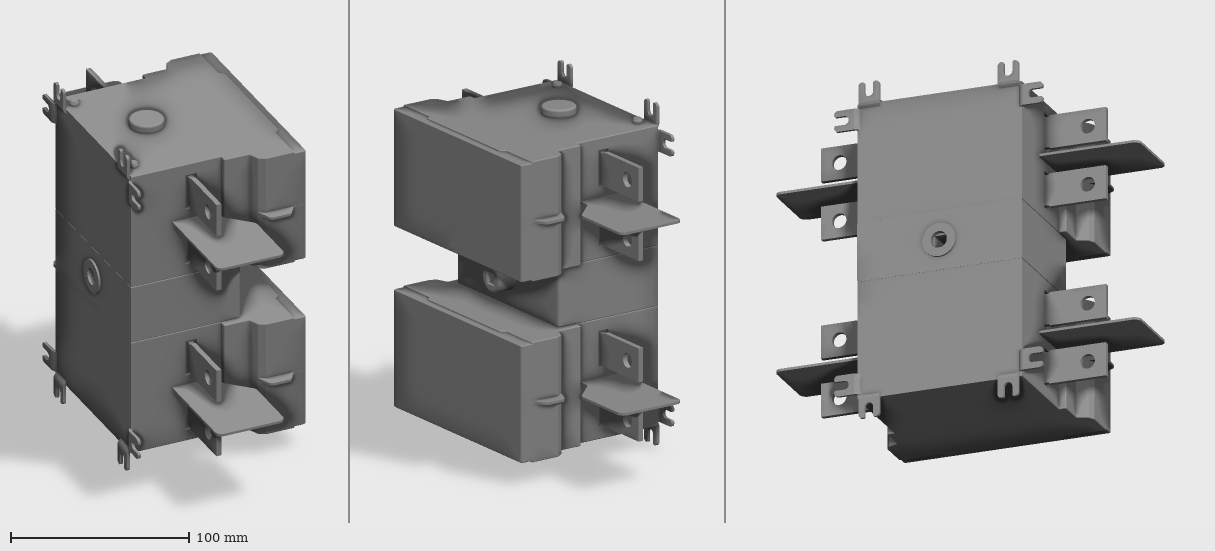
import cadquery as cq
import math

HOUSING_HALF_WIDTH = 49.75
HOUSING_HEIGHT = 71.0
HOUSING_CENTRE_Z = 53.3
END_EDGE_RADIUS = 0.6
EDGE_PICK_REACH = 0.1

SHOULDER_Y = 55.6
SHOULDER_HALF_WIDTH = 54.0
SHOULDER_RADIUS = 0.8
FLARE_START_Y = 71.0
FLARE_ANGLE = math.radians(22)
FLARE_INNER_RADIUS = 1.5
FLARE_CORNER_X = 60.3
FLARE_CORNER_RADIUS = 1.5
HEAD_HALF_WIDTH = 62.5
FLANK_START_Y = 77.5
HEAD_SIDE_Y = 95.2
HEAD_MIDDLE_Y = 98.2
HEAD_MIDDLE_HALF_WIDTH = 35.0
HEAD_RAMP_END_X = 37.8

COVER_BACK_Y = 102.48
COVER_FRONT_Y = 90.0
COVER_INSET = 0.9
COVER_EDGE_RADIUS = 1.5

BLOCK_FRONT_Y = -0.15
BLOCK_BACK_Y = 68.0
BLOCK_EDGE_RADIUS = 2.0

DISC_DIAMETER = 20.0
DISC_THICKNESS = 1.5
SHAFT_SQUARE = 7.0
SHAFT_BORE_DIAMETER = 10.0
SHAFT_BORE_DEPTH = 3.0
BOSS_DIAMETER = 16.8
BOSS_BACK_Y = 79.9
BOSS_EDGE_RADIUS = 2.0

TERMINAL_PITCH = 35.0
TERMINAL_END_X = 86.0
TERMINAL_WIDTH = 20.0
TERMINAL_THICKNESS = 3.0
TERMINAL_Y = 37.2
TERMINAL_HOLE_X = 75.0
TERMINAL_HOLE_DIAMETER = 8.7
POCKET_HEIGHT = 22.0
POCKET_WIDTH = 7.0
POCKET_DEPTH = 2.0
NECK_CHAMFER = 0.8
NECK_START_X = 52.2

BARRIER_END_X = 110.005
BARRIER_THICKNESS = 1.5
BARRIER_FRONT_Y = 25.4
BARRIER_BACK_Y = 67.4
BARRIER_ROOT_Y = 53.2
BARRIER_RAMP_OUTER_X = 71.0
BARRIER_RAMP_INNER_X = 57.0
BARRIER_CORNER_RADIUS = 4.0

FIN_END_X = 69.5
FIN_THICKNESS = 1.5
FIN_BACK_Y = 94.5
FIN_TIP_Y = 90.0
FIN_RADIUS = 3.5
FIN_RIDGE_HEIGHT = 0.2

FOOT_WIDTH = 12.6
FOOT_THICKNESS = 1.8
FOOT_FRONT_Y = -2.0
FOOT_LENGTH = 15.0
FOOT_BEND_RADIUS = 1.6
FOOT_BEND_WIDTH = 3.0
FOOT_BEND_MIDDLE_Y = -1.45
FOOT_LEG_END_Y = 5.0
FOOT_SLOT_WIDTH = 5.2
FOOT_SLOT_DEPTH = 8.7
FOOT_TIP_OUTER_RADIUS = 2.2
FOOT_TIP_INNER_RADIUS = 1.0
END_FOOT_X = 42.0
END_FOOT_TIP_Z = 101.005
SIDE_FOOT_TIP_X = 62.9
SIDE_FOOT_Z = 79.7

KNOB_DIAMETER = 20.0
KNOB_HEIGHT = 5.0
KNOB_Y = 32.9
KNOB_RADIUS = 1.3
SCREW_X = 39.0
SCREW_Y = 6.4
SCREW_DIAMETER = 5.8
SCREW_HEIGHT = 2.8
SCREW_CHAMFER_HEIGHT = 1.4
SCREW_CHAMFER_WIDTH = 0.7

HOUSING_TOP_Z = HOUSING_CENTRE_Z + HOUSING_HEIGHT / 2
HOUSING_BOTTOM_Z = HOUSING_CENTRE_Z - HOUSING_HEIGHT / 2


def flare_y(x):
    """Y of the flared flank at distance x from the middle plane."""
    return FLARE_START_Y + math.tan(FLARE_ANGLE) * (x - SHOULDER_HALF_WIDTH)


def slab(points, thickness, middle_z):
    """A plate with an XY outline, centred in Z on middle_z."""
    bottom = cq.Workplane("XY").workplane(offset=middle_z - thickness / 2)
    return bottom.polyline(points).close().extrude(thickness)


def edges_near(x, y):
    """Selector for the edges close to the vertical line through (x, y)."""
    low = (x - EDGE_PICK_REACH, y - EDGE_PICK_REACH, -END_FOOT_TIP_Z)
    high = (x + EDGE_PICK_REACH, y + EDGE_PICK_REACH, END_FOOT_TIP_Z)
    return cq.selectors.BoxSelector(low, high)


def round_edge_at(body, x, y, radius):
    """Round the Z edges that stand at (x, y) and (-x, y)."""
    for side in (-1, 1):
        body = body.edges("|Z").edges(edges_near(side * x, y)).fillet(radius)
    return body


def mirrored_outline(half):
    """Close a right-hand outline with its mirror image about X = 0."""
    return half + [(-x, y) for x, y in reversed(half)]


def housing():
    """The stepped and flared housing of the upper switch."""
    half = [
        (HOUSING_HALF_WIDTH, 0),
        (HOUSING_HALF_WIDTH, SHOULDER_Y),
        (SHOULDER_HALF_WIDTH, SHOULDER_Y),
        (SHOULDER_HALF_WIDTH, FLARE_START_Y),
        (FLARE_CORNER_X, flare_y(FLARE_CORNER_X)),
        (HEAD_HALF_WIDTH, FLANK_START_Y),
        (HEAD_HALF_WIDTH, HEAD_SIDE_Y),
        (HEAD_RAMP_END_X, HEAD_SIDE_Y),
        (HEAD_MIDDLE_HALF_WIDTH, HEAD_MIDDLE_Y),
    ]
    body = slab(mirrored_outline(half), HOUSING_HEIGHT, HOUSING_CENTRE_Z)
    body = round_edge_at(body, SHOULDER_HALF_WIDTH, SHOULDER_Y, SHOULDER_RADIUS)
    body = round_edge_at(body, SHOULDER_HALF_WIDTH, FLARE_START_Y, FLARE_INNER_RADIUS)
    body = round_edge_at(body, FLARE_CORNER_X, flare_y(FLARE_CORNER_X), FLARE_CORNER_RADIUS)
    ends = body.faces("<Z or >Z").edges().edges("not <Y")
    return ends.fillet(END_EDGE_RADIUS)


def cover():
    """The rear cover, slightly shorter in Z than the housing."""
    depth = COVER_BACK_Y - COVER_FRONT_Y
    height = HOUSING_HEIGHT - 2 * COVER_INSET
    middle = (0, (COVER_BACK_Y + COVER_FRONT_Y) / 2, HOUSING_CENTRE_Z)
    block = cq.Workplane("XY").box(2 * HEAD_HALF_WIDTH, depth, height)
    block = block.edges("|Z and >Y").fillet(COVER_EDGE_RADIUS)
    ends = block.faces("<Z or >Z").edges().edges("not <Y")
    return ends.fillet(END_EDGE_RADIUS).translate(middle)


def fins():
    """A thin fin on each flank of the head, running out to the back as a low ridge."""
    ridge_x = HEAD_HALF_WIDTH + FIN_RIDGE_HEIGHT
    half = [
        (SHOULDER_HALF_WIDTH, FLARE_START_Y),
        (FIN_END_X, flare_y(FIN_END_X)),
        (FIN_END_X, FIN_TIP_Y),
        (ridge_x, FIN_BACK_Y),
        (ridge_x, COVER_BACK_Y),
    ]
    fin = slab(mirrored_outline(half), FIN_THICKNESS, HOUSING_CENTRE_Z)
    fin = round_edge_at(fin, FIN_END_X, flare_y(FIN_END_X), FIN_RADIUS)
    fin = round_edge_at(fin, FIN_END_X, FIN_TIP_Y, FIN_RADIUS)
    return round_edge_at(fin, ridge_x, COVER_BACK_Y, COVER_EDGE_RADIUS + FIN_RIDGE_HEIGHT)


def barriers():
    """The thin sheet that separates the phases, standing out on both sides."""
    half = [
        (BARRIER_END_X, BARRIER_FRONT_Y),
        (BARRIER_END_X, BARRIER_BACK_Y),
        (BARRIER_RAMP_OUTER_X, BARRIER_BACK_Y),
        (BARRIER_RAMP_INNER_X, BARRIER_ROOT_Y),
    ]
    sheet = slab(mirrored_outline(half), BARRIER_THICKNESS, HOUSING_CENTRE_Z)
    for x, y in half:
        sheet = round_edge_at(sheet, x, y, BARRIER_CORNER_RADIUS)
    return sheet


def terminal_bar(middle_z):
    """One flat bar through the housing, drilled and necked at both sides."""
    half_width = TERMINAL_WIDTH / 2
    neck_half_width = half_width - NECK_CHAMFER
    quarter = [
        (TERMINAL_END_X, half_width),
        (NECK_START_X, half_width),
        (NECK_START_X - NECK_CHAMFER, neck_half_width),
    ]
    upper = quarter + [(-x, z) for x, z in reversed(quarter)]
    lower = [(x, -z) for x, z in reversed(upper)]
    bar = cq.Workplane("XZ").polyline(upper + lower).close().extrude(TERMINAL_THICKNESS / 2, both=True)
    holes = (
        cq.Workplane("XZ")
        .pushPoints([(-TERMINAL_HOLE_X, 0), (TERMINAL_HOLE_X, 0)])
        .circle(TERMINAL_HOLE_DIAMETER / 2)
        .extrude(TERMINAL_THICKNESS, both=True)
    )
    return bar.cut(holes).translate((0, TERMINAL_Y, middle_z))


def terminal_pockets(middle_z):
    """Shallow pockets around a bar where it leaves the two housing sides."""
    outer = cq.Workplane("XY").box(2 * HOUSING_HALF_WIDTH, POCKET_WIDTH, POCKET_HEIGHT)
    core = cq.Workplane("XY").box(2 * (HOUSING_HALF_WIDTH - POCKET_DEPTH), POCKET_WIDTH, POCKET_HEIGHT)
    return outer.cut(core).translate((0, TERMINAL_Y, middle_z))


def switch_module():
    """The upper switch: housing, cover, fins, barriers and two terminal bars."""
    module = housing().union(cover()).union(fins()).union(barriers())
    for side in (-1, 1):
        middle_z = HOUSING_CENTRE_Z + side * TERMINAL_PITCH / 2
        module = module.cut(terminal_pockets(middle_z)).union(terminal_bar(middle_z))
    return module


def foot():
    """A bent, slotted lug: tip at the origin, length along -X, front at FOOT_FRONT_Y, centred on Z."""
    back_y = FOOT_FRONT_Y + FOOT_THICKNESS
    leg_inner_x = -FOOT_LENGTH + FOOT_THICKNESS
    strip = (
        cq.Workplane("XY")
        .polyline([
            (0, FOOT_FRONT_Y),
            (FOOT_BEND_WIDTH - FOOT_LENGTH, FOOT_FRONT_Y),
            (FOOT_BEND_WIDTH / 2 - FOOT_LENGTH, FOOT_BEND_MIDDLE_Y),
            (-FOOT_LENGTH, 0),
            (-FOOT_LENGTH, FOOT_LEG_END_Y),
            (leg_inner_x, FOOT_LEG_END_Y),
            (leg_inner_x, back_y),
            (0, back_y),
        ])
        .close()
        .extrude(FOOT_WIDTH / 2, both=True)
    )
    strip = strip.edges("|Z").edges(edges_near(leg_inner_x, back_y)).fillet(FOOT_BEND_RADIUS)

    slot_radius = FOOT_SLOT_WIDTH / 2
    slot = (
        cq.Workplane("XZ", origin=(0, back_y, 0))
        .moveTo(0, -slot_radius)
        .lineTo(slot_radius - FOOT_SLOT_DEPTH, -slot_radius)
        .threePointArc((-FOOT_SLOT_DEPTH, 0), (slot_radius - FOOT_SLOT_DEPTH, slot_radius))
        .lineTo(0, slot_radius)
        .close()
        .extrude(FOOT_THICKNESS)
    )
    strip = strip.cut(slot)
    strip = strip.faces(">X").edges("|Y").edges("<Z or >Z").fillet(FOOT_TIP_OUTER_RADIUS)
    prong_ends = strip.faces(">X").edges("|Y")
    low = (-EDGE_PICK_REACH, FOOT_FRONT_Y, -slot_radius - EDGE_PICK_REACH)
    high = (EDGE_PICK_REACH, 0, slot_radius + EDGE_PICK_REACH)
    return prong_ends.edges(cq.selectors.BoxSelector(low, high)).fillet(FOOT_TIP_INNER_RADIUS)


def upper_feet():
    """Two feet beyond the upper end and one on each side of the upper module."""
    lug = foot()
    side_foot = lug.translate((SIDE_FOOT_TIP_X, 0, SIDE_FOOT_Z))
    end_foot = lug.rotate((0, 0, 0), (0, 1, 0), -90).translate((END_FOOT_X, 0, END_FOOT_TIP_Z))
    right = side_foot.union(end_foot)
    return right.union(right.mirror("YZ"))


def gear_block():
    """The block between the modules, with its front disc and rear boss."""
    depth = BLOCK_BACK_Y - BLOCK_FRONT_Y
    block = cq.Workplane("XY").box(2 * HOUSING_HALF_WIDTH, depth, 2 * HOUSING_BOTTOM_Z)
    block = block.edges("|Z and >Y").fillet(BLOCK_EDGE_RADIUS)
    block = block.faces("<Z or >Z").edges().edges("not <Y").fillet(END_EDGE_RADIUS)
    block = block.translate((0, BLOCK_FRONT_Y + depth / 2, 0))
    disc = cq.Workplane("XZ").circle(DISC_DIAMETER / 2).extrude(DISC_THICKNESS)
    boss = cq.Workplane("XZ").circle(BOSS_DIAMETER / 2).extrude(-BOSS_BACK_Y)
    return block.union(disc).union(boss.faces(">Y").edges().fillet(BOSS_EDGE_RADIUS))


def shaft_hole():
    """A square through hole with a round counterbore at the front."""
    front = cq.Workplane("XZ", origin=(0, -DISC_THICKNESS, 0))
    square = front.rect(SHAFT_SQUARE, SHAFT_SQUARE).extrude(-DISC_THICKNESS - BOSS_BACK_Y)
    return square.union(front.circle(SHAFT_BORE_DIAMETER / 2).extrude(-SHAFT_BORE_DEPTH))


def upper_fittings():
    """The knob and the two screw heads on the upper end."""
    top = cq.Workplane("XY").workplane(offset=HOUSING_TOP_Z)
    knob = top.center(0, KNOB_Y).circle(KNOB_DIAMETER / 2).extrude(KNOB_HEIGHT)
    knob = knob.faces(">Z").edges().fillet(KNOB_RADIUS)
    screws = top.pushPoints([(-SCREW_X, SCREW_Y), (SCREW_X, SCREW_Y)])
    screws = screws.circle(SCREW_DIAMETER / 2).extrude(SCREW_HEIGHT)
    return knob.union(screws.faces(">Z").edges().chamfer(SCREW_CHAMFER_HEIGHT, SCREW_CHAMFER_WIDTH))


upper_half = switch_module().union(upper_feet())
assembly = gear_block().union(upper_half).union(upper_half.mirror("XY"))
result = assembly.union(upper_fittings()).cut(shaft_hole())